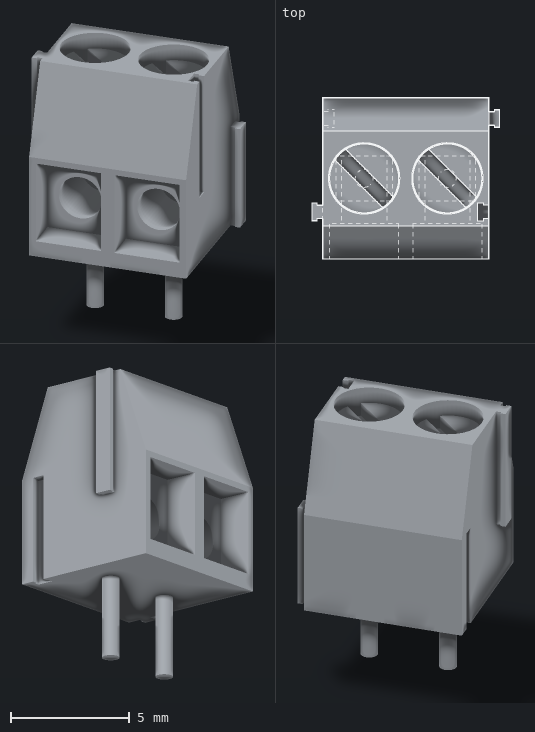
import cadquery as cq


pole_pitch = 3.5
pole_count = 2
housing_width = pole_count * pole_pitch
housing_depth = 6.8
housing_height = 8.4
shoulder_height = 4.57
slope_inset = 1.4
front_y = -housing_depth / 2
back_y = housing_depth / 2
side_x = housing_width / 2
pole_positions = [(i - (pole_count - 1) / 2) * pole_pitch for i in range(pole_count)]

opening_width = 2.9
opening_bottom = 0.7
opening_height = 3.6
opening_top = opening_bottom + opening_height
opening_depth = 1.5
clamp_wall = 0.95
clamp_width = 2.38
clamp_depth = housing_depth - 2 * (opening_depth + clamp_wall)
wire_hole_diameter = 1.9
wire_hole_height = 2.28

screw_hole_diameter = 3.0
screw_diameter = 2.9
screw_recess = 0.7
screw_top = housing_height - screw_recess
screw_slot_width = 0.63
screw_slot_depth = 0.6
screw_slot_angle = -45

pin_diameter = 0.75
pin_length = 3.5

neck_width = 0.57
rail_neck_length = 0.23
rail_reach = 0.45
groove_neck_length = 0.24
groove_depth = 0.48
front_rail_y = front_y + 1.99
front_head_width = 0.76
front_rail_length = 5.39
back_rail_y = back_y - 0.88
back_head_width = 0.75


def centred_box(width, depth, height, x, y, bottom):
    """Box centred on x and y, standing on the level bottom."""
    return cq.Workplane("XY").box(width, depth, height, (True, True, False)).translate((x, y, bottom))


def upright_cylinder(diameter, bottom, top, x):
    """Vertical cylinder on the middle plane of the housing."""
    return cq.Workplane("XY", origin=(x, 0, bottom)).circle(diameter / 2).extrude(top - bottom)


def t_bar(root_x, y, neck_length, reach, head_width, bottom, height):
    """Vertical bar of T section growing toward -X from the plane root_x."""
    head_length = reach - neck_length
    neck = centred_box(neck_length, neck_width, height, root_x - neck_length / 2, y, bottom)
    head_x = root_x - neck_length - head_length / 2
    head = centred_box(head_length, head_width, height, head_x, y, bottom)
    return neck.union(head)


def front_t(root_x, neck_length, reach):
    """T bar running down from the top face, near the front."""
    bottom = housing_height - front_rail_length
    return t_bar(root_x, front_rail_y, neck_length, reach, front_head_width, bottom, front_rail_length)


def back_t(root_x, neck_length, reach):
    """T bar running from the underside up to the shoulder, near the back."""
    return t_bar(root_x, back_rail_y, neck_length, reach, back_head_width, 0, shoulder_height)


def mirrored_in_x(shape):
    return shape.mirror("YZ")


def clamp_space(x):
    """Chamber for one clamp, as high as the wire opening."""
    return centred_box(clamp_width, clamp_depth, opening_height, x, 0, opening_bottom)


def wire_hole(x):
    """Round hole from the back wall of the wire opening through the clamp."""
    hole_start = front_y + opening_depth
    return (
        cq.Workplane("XZ", origin=(x, hole_start, wire_hole_height))
        .circle(wire_hole_diameter / 2)
        .extrude(-(clamp_wall + clamp_depth))
    )


def make_housing():
    profile = [
        (front_y, 0),
        (back_y, 0),
        (back_y, shoulder_height),
        (back_y - slope_inset, housing_height),
        (front_y + slope_inset, housing_height),
        (front_y, shoulder_height),
    ]
    housing = cq.Workplane("YZ").polyline(profile).close().extrude(side_x, both=True)

    housing = housing.union(front_t(-side_x, rail_neck_length, rail_reach))
    housing = housing.union(mirrored_in_x(back_t(-side_x, rail_neck_length, rail_reach)))

    housing = housing.cut(front_t(side_x, groove_neck_length, groove_depth))
    housing = housing.cut(mirrored_in_x(back_t(side_x, groove_neck_length, groove_depth)))

    for x in pole_positions:
        opening_y = front_y + opening_depth / 2
        housing = housing.cut(
            centred_box(opening_width, opening_depth, opening_height, x, opening_y, opening_bottom)
        )
        housing = housing.cut(clamp_space(x))
        housing = housing.cut(wire_hole(x))
        housing = housing.cut(upright_cylinder(screw_hole_diameter, opening_top, housing_height, x))
        housing = housing.cut(upright_cylinder(pin_diameter, 0, opening_bottom, x))
    return housing


def make_clamp(x):
    return clamp_space(x).cut(wire_hole(x))


def make_screw(x):
    slot = (
        cq.Workplane("XY")
        .box(screw_hole_diameter, screw_slot_width, screw_slot_depth, (True, True, False))
        .rotate((0, 0, 0), (0, 0, 1), screw_slot_angle)
        .translate((x, 0, screw_top - screw_slot_depth))
    )
    return upright_cylinder(screw_diameter, opening_top, screw_top, x).cut(slot)


def make_pin(x):
    return upright_cylinder(pin_diameter, -pin_length, opening_bottom, x)


housing = make_housing()
clamps = [make_clamp(x) for x in pole_positions]
screws = [make_screw(x) for x in pole_positions]
pins = [make_pin(x) for x in pole_positions]

result = cq.Compound.makeCompound(
    [housing.val()] + [body.val() for body in clamps + screws + pins]
)